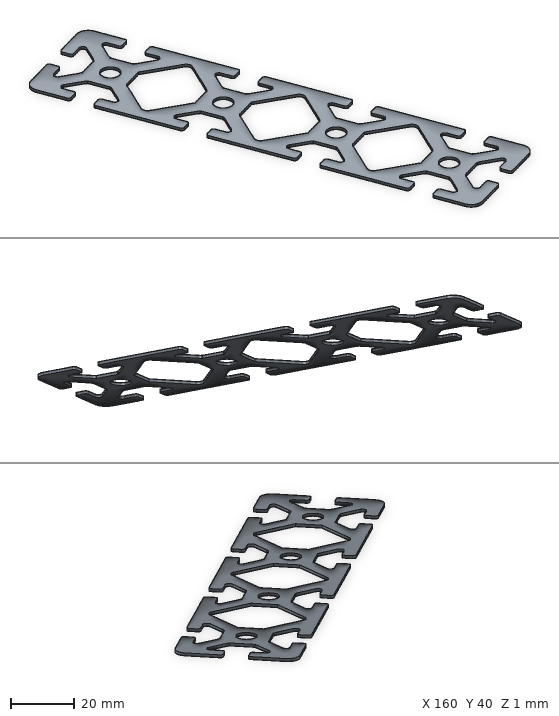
import cadquery as cq
import math

LENGTH = 160.0
CELL_COUNT = 4
CELL = LENGTH / CELL_COUNT
THICKNESS = 1.0
CORNER_RADIUS = 4.0

BORE_DIAMETER = 6.7
CORE_WIDTH = 15.7
RIB_SPAN = 7.2

SLOT_OPENING = 8.2
LIP_THICKNESS = 4.5
LIP_RADIUS = 1.0
SLOT_FLOOR_RADIUS = 2.9
SLOT_TIP_RADIUS = 1.3

CAVITY_TIP_RADIUS = 2.0

HALF_CELL = CELL / 2
CORE_HALF = CORE_WIDTH / 2
RIB_OFFSET = RIB_SPAN / 2
LIP_INNER = HALF_CELL - LIP_THICKNESS

CELL_CENTERS = [(i - (CELL_COUNT - 1) / 2) * CELL for i in range(CELL_COUNT)]
CAVITY_CENTERS = [x + HALF_CELL for x in CELL_CENTERS[:-1]]

SIDE_SLOTS = [(x, angle) for x in CELL_CENTERS for angle in (0, 180)]
END_SLOTS = [(CELL_CENTERS[0], 90), (CELL_CENTERS[-1], -90)]

PICK_REACH = 0.08


def extrude_outline(points):
    return cq.Workplane("XY").polyline(points).close().extrude(THICKNESS)


def fillet_uprights(body, points, radius):
    """Round the upright edges of the body that pass through the given XY points."""
    boxes = [
        cq.selectors.BoxSelector(
            (x - PICK_REACH, y - PICK_REACH, 0),
            (x + PICK_REACH, y + PICK_REACH, THICKNESS),
        )
        for x, y in points
    ]
    selector = boxes[0]
    for box in boxes[1:]:
        selector = selector + box
    return body.edges("|Z").edges(selector).fillet(radius)


def slot_cutter():
    """T-slot opening toward +Y from a cell centred on the origin."""
    floor_x = CORE_HALF - RIB_OFFSET
    tip_x = LIP_INNER - RIB_OFFSET
    floor = [(-floor_x, CORE_HALF), (floor_x, CORE_HALF)]
    tips = [(tip_x, LIP_INNER), (-tip_x, LIP_INNER)]
    pocket = extrude_outline(floor + tips)
    pocket = fillet_uprights(pocket, tips, SLOT_TIP_RADIUS)
    pocket = fillet_uprights(pocket, floor, SLOT_FLOOR_RADIUS)

    depth = HALF_CELL - CORE_HALF
    opening = cq.Workplane("XY").box(SLOT_OPENING, depth, THICKNESS, centered=(True, False, False))
    return pocket.union(opening.translate((0, CORE_HALF, 0)))


def lip_corners(center_x, angle):
    """XY places of the four lip corners at the mouth of one slot."""
    half = SLOT_OPENING / 2
    corners = [(across, out) for across in (-half, half) for out in (LIP_INNER, HALF_CELL)]
    cos_a = math.cos(math.radians(angle))
    sin_a = math.sin(math.radians(angle))
    return [
        (center_x + across * cos_a - out * sin_a, across * sin_a + out * cos_a)
        for across, out in corners
    ]


def cavity_cutter():
    """Six-sided cavity centred between two cells, with rounded tips toward the long sides."""
    wall_x = HALF_CELL - CORE_HALF
    wall_y = CORE_HALF - RIB_OFFSET
    tip_y = HALF_CELL - RIB_OFFSET
    hexagon = extrude_outline([
        (wall_x, -wall_y),
        (wall_x, wall_y),
        (0, tip_y),
        (-wall_x, wall_y),
        (-wall_x, -wall_y),
        (0, -tip_y),
    ])
    return fillet_uprights(hexagon, [(0, tip_y), (0, -tip_y)], CAVITY_TIP_RADIUS)


plate = cq.Workplane("XY").box(LENGTH, CELL, THICKNESS, centered=(True, True, False))
plate = plate.edges("|Z").fillet(CORNER_RADIUS)

bore_centers = cq.Workplane("XY").pushPoints([(x, 0) for x in CELL_CENTERS])
plate = plate.cut(bore_centers.circle(BORE_DIAMETER / 2).extrude(THICKNESS))

cavity = cavity_cutter()
for x in CAVITY_CENTERS:
    plate = plate.cut(cavity.translate((x, 0, 0)))

slot = slot_cutter()
for x, angle in SIDE_SLOTS + END_SLOTS:
    plate = plate.cut(slot.rotate((0, 0, 0), (0, 0, 1), angle).translate((x, 0, 0)))
    plate = fillet_uprights(plate, lip_corners(x, angle), LIP_RADIUS)

result = plate